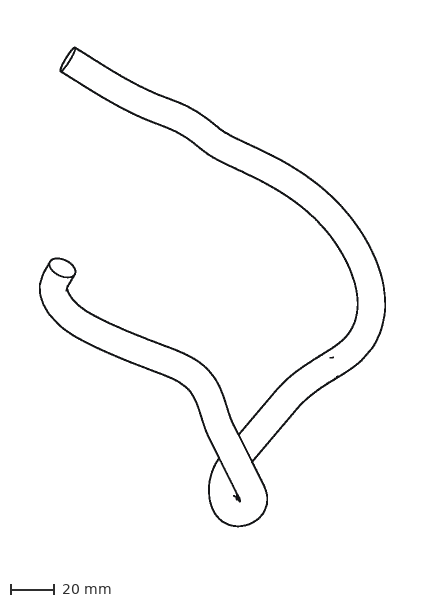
import cadquery as cq

ROD_DIAMETER = 12.7

TAIL_STRAIGHT = ((45.2, 296.8, 12.7), (54.3, 296.8, 12.7))
BASE_STRAIGHT = ((186.5, 161.5, 12.7), (185.2, 112.0, 15.0))
UPRIGHT_STRAIGHT = ((222.2, 62.0, 59.0), (214.5, 48.0, 106.5))

TAIL_END = (3.5, 289.5, 31.0)
TOP_END = (152.2, 10.3, 216.5)

TAIL_BEND = [(24.3, 293.8, 19.5)]
ARCH_BEND = [
    (64.3, 294.5, 14.2),
    (88.8, 277.5, 27.3),
    (126.7, 266.5, 35.2),
    (168.0, 254.7, 25.8),
    (191.5, 233.0, 9.5),
    (195.0, 216.8, 6.0),
    (191.3, 192.2, 8.8),
]
CORNER_BEND = [(198.0, 82.5, 20.0), (215.0, 69.5, 36.5)]
TOP_BEND = [
    (211.3, 37.3, 142.8),
    (206.5, 29.5, 159.0),
    (194.0, 20.0, 170.7),
    (170.5, 10.3, 183.0),
    (153.5, 6.5, 195.5),
    (149.2, 7.3, 205.5),
]


def direction(straight):
    """Unit vector along a straight length."""
    start, end = straight
    return (cq.Vector(*end) - cq.Vector(*start)).normalized()


def line(straight):
    """Centreline edge of a straight length."""
    start, end = straight
    return cq.Edge.makeLine(cq.Vector(*start), cq.Vector(*end))


def bend(before, through, after):
    """Centreline edge that leaves and meets the adjoining straights tangentially."""
    points = [before[1], *through, after[0]]
    tangents = [direction(before), direction(after)]
    return cq.Edge.makeSpline([cq.Vector(*p) for p in points], tangents=tangents, scale=False)


def end_bend(straight_end, through, free_end, tangent):
    """Centreline edge from a straight, tangent to it, out to a free end of the rod."""
    points = [cq.Vector(*p) for p in (straight_end, *through, free_end)]
    end_tangent = (points[-1] - points[-2]).normalized()
    return cq.Edge.makeSpline(points, tangents=[tangent, end_tangent], scale=False)


tail_start, tail_finish = TAIL_STRAIGHT
tail_outward = direction((tail_finish, tail_start))
centreline = cq.Wire.assembleEdges([
    end_bend(tail_start, TAIL_BEND, TAIL_END, tail_outward),
    line(TAIL_STRAIGHT),
    bend(TAIL_STRAIGHT, ARCH_BEND, BASE_STRAIGHT),
    line(BASE_STRAIGHT),
    bend(BASE_STRAIGHT, CORNER_BEND, UPRIGHT_STRAIGHT),
    line(UPRIGHT_STRAIGHT),
    end_bend(UPRIGHT_STRAIGHT[1], TOP_BEND, TOP_END, direction(UPRIGHT_STRAIGHT)),
])

end_plane = cq.Plane(origin=TAIL_END, normal=cq.Vector(*TAIL_BEND[0]) - cq.Vector(*TAIL_END))
result = cq.Workplane(end_plane).circle(ROD_DIAMETER / 2).sweep(cq.Workplane(centreline))